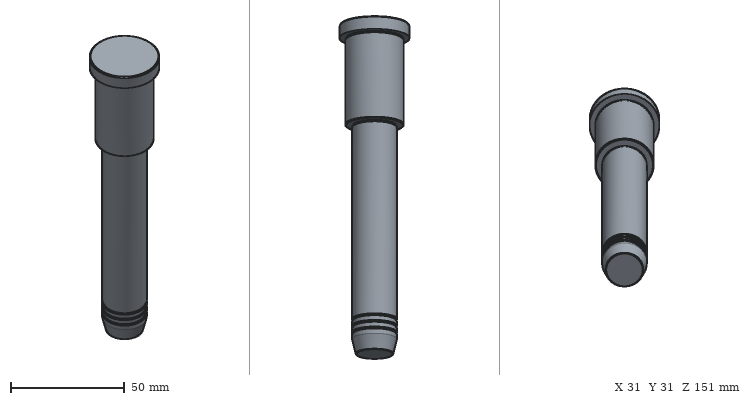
import cadquery as cq

total_length = 151.0
head_height = 6.0
sleeve_bottom = 105.0
head_bottom = total_length - head_height

head_radius = 31.0 / 2
sleeve_radius = 26.0 / 2
shank_radius = 20.0 / 2

head_chamfer = 0.53
sleeve_chamfer = 0.5
relief_height = 0.83
relief_depth = 0.5

tip_radius = 8.3
tip_height = 7.0
tip_chamfer = 0.3

groove_width = 1.0
groove_depth = 0.5
groove_pitch = 3.0
lowest_groove_z = 9.5
groove_count = 3


def ring_cutter(outer_radius, depth, bottom, height):
    """Ring that removes a band of the given depth from a cylinder."""
    return (
        cq.Workplane("XY")
        .workplane(offset=bottom)
        .circle(outer_radius + depth)
        .circle(outer_radius - depth)
        .extrude(height)
    )


def make_shank():
    """Revolved shank with the tapered and chamfered tip."""
    taper = (shank_radius - tip_radius) / tip_height
    return (
        cq.Workplane("XZ")
        .lineTo(tip_radius - tip_chamfer, 0)
        .lineTo(tip_radius + tip_chamfer * taper, tip_chamfer)
        .lineTo(shank_radius, tip_height)
        .lineTo(shank_radius, head_bottom)
        .lineTo(0, head_bottom)
        .close()
        .revolve(360, (0, 0, 0), (0, 1, 0))
    )


def groove_cutter(center_z):
    """Ring with a V-shaped inner side, centred on the given height."""
    half_width = groove_width / 2
    return (
        cq.Workplane("XZ")
        .moveTo(shank_radius + groove_depth, center_z - half_width)
        .lineTo(shank_radius, center_z - half_width)
        .lineTo(shank_radius - groove_depth, center_z)
        .lineTo(shank_radius, center_z + half_width)
        .lineTo(shank_radius + groove_depth, center_z + half_width)
        .close()
        .revolve(360, (0, 0, 0), (0, 1, 0))
    )


def make_sleeve():
    """Larger cylinder below the head, with its lower edge broken."""
    return (
        cq.Workplane("XY")
        .workplane(offset=sleeve_bottom)
        .circle(sleeve_radius)
        .extrude(head_bottom - sleeve_bottom)
        .faces("<Z")
        .chamfer(sleeve_chamfer)
    )


def make_head():
    """Flat round head, with its top edge broken."""
    return (
        cq.Workplane("XY")
        .workplane(offset=head_bottom)
        .circle(head_radius)
        .extrude(head_height)
        .faces(">Z")
        .chamfer(head_chamfer)
    )


result = make_shank().union(make_sleeve()).union(make_head())

for radius, shoulder_z in ((sleeve_radius, head_bottom), (shank_radius, sleeve_bottom)):
    relief = ring_cutter(radius, relief_depth, shoulder_z - relief_height, relief_height)
    result = result.cut(relief)

for index in range(groove_count):
    result = result.cut(groove_cutter(lowest_groove_z + index * groove_pitch))